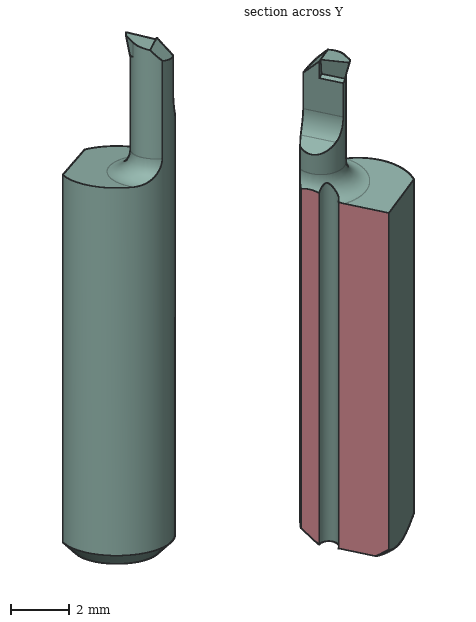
import cadquery as cq
import math

shank_radius = 2.0
flat_x = -1.55
shank_height = 14.0
base_chamfer = 0.5

overall_height = 19.0
neck_radius = 0.875
neck_x = 1.39
root_fillet = 0.8

relief_y = 0.1
relief_arc_radius = 1.2
relief_arc_angle = math.radians(45)
relief_arc_top_z = 16.84

coolant_diameter = 0.7
coolant_x = 0.67
coolant_y = 1.07

tip_x = 0.33
tip_y = -0.02
end_slope = math.radians(7)
end_clearance = 6
ridge_turn = 4
ridge_x = 1.4
head_floor_z = 18.2
floor_tilt = math.radians(12)
flank_lean = 0.28
rake_lean = 0.13
flank_slope = 0.25
back_relief_x = 0.76
head_margin = 0.1

meet_y = -math.sqrt(neck_radius ** 2 - (neck_x - back_relief_x) ** 2)


def make_shank():
    bar = cq.Workplane("XY").circle(shank_radius).extrude(shank_height)
    bar = bar.faces("<Z").chamfer(base_chamfer)
    flat_bound = cq.Workplane("XY").box(
        shank_radius - flat_x, 2 * shank_radius, shank_height, centered=(False, True, False)
    )
    return bar.intersect(flat_bound.translate((flat_x, 0, 0)))


def make_neck():
    """Neck and its flared root, turned about the neck axis and clipped to the shank's cylinder."""
    flare_radius = neck_radius + root_fillet
    flare_top = shank_height + root_fillet
    bend = root_fillet * (1 - math.sqrt(0.5))
    profile = (
        cq.Workplane("XZ")
        .moveTo(0, shank_height - root_fillet)
        .lineTo(flare_radius, shank_height - root_fillet)
        .lineTo(flare_radius, shank_height)
        .threePointArc((neck_radius + bend, shank_height + bend), (neck_radius, flare_top))
        .lineTo(neck_radius, overall_height + head_margin)
        .lineTo(0, overall_height + head_margin)
        .close()
    )
    neck = profile.revolve(360, (0, 0), (0, 1)).translate((neck_x, 0, 0))
    envelope = cq.Workplane("XY").circle(shank_radius).extrude(2 * overall_height)
    return neck.intersect(envelope)


def side_relief():
    """Body removed from the +Y side: a flat, an arc and a 45 degree run-out."""
    def arc_point(angle):
        return (
            relief_y + relief_arc_radius * (1 - math.cos(angle)),
            relief_arc_top_z - relief_arc_radius * math.sin(angle),
        )

    arc_end = arc_point(relief_arc_angle)
    run_out = neck_radius
    return (
        cq.Workplane("YZ")
        .moveTo(relief_y, overall_height + head_margin)
        .lineTo(relief_y, relief_arc_top_z)
        .threePointArc(arc_point(relief_arc_angle / 2), arc_end)
        .lineTo(arc_end[0] + run_out, arc_end[1] - run_out)
        .lineTo(arc_end[0] + run_out, overall_height + head_margin)
        .close()
        .extrude(neck_x + neck_radius)
    )


def head_pocket():
    """Space above the tilted floor, from the back relief to the +Y side and as far as the ridge."""
    def floor_z(y):
        return head_floor_z - (y - relief_y) * math.tan(floor_tilt)

    front_y = neck_radius
    top_z = overall_height + head_margin
    return (
        cq.Workplane("YZ")
        .polyline([(meet_y, floor_z(meet_y)), (front_y, floor_z(front_y)), (front_y, top_z), (meet_y, top_z)])
        .close()
        .extrude(ridge_x)
    )


def make_tooth():
    """Tooth with leaning flank and rake face; it narrows from the end face down to the floor."""
    def outline(z):
        drop = overall_height - z
        corner_x = tip_x + flank_lean * drop
        corner_y = tip_y - rake_lean * drop
        flank_depth = (corner_x + corner_y - back_relief_x - meet_y) / (1 - flank_slope)
        return [
            (corner_x, corner_y),
            (corner_x + flank_slope * flank_depth, corner_y - flank_depth),
            (back_relief_x, meet_y),
            (ridge_x, meet_y),
            (ridge_x, corner_y),
        ]

    low_z = head_floor_z - head_margin
    high_z = overall_height + head_margin
    return (
        cq.Workplane("XY", origin=(0, 0, low_z))
        .polyline(outline(low_z))
        .close()
        .workplane(offset=high_z - low_z)
        .polyline(outline(high_z))
        .close()
        .loft(ruled=True)
        .intersect(head_pocket())
    )


def end_trim():
    """Body above the sloping end face and its bevel, turned and tilted about the tip for end clearance."""
    bevel_run = shank_radius
    ridge_drop = (ridge_x - tip_x) * math.tan(end_slope)
    start_x = tip_x - bevel_run
    end_x = ridge_x + bevel_run
    profile = (
        cq.Workplane("XZ")
        .polyline([
            (start_x, bevel_run * math.tan(end_slope)),
            (ridge_x, -ridge_drop),
            (end_x, -ridge_drop - bevel_run),
            (end_x, bevel_run),
            (start_x, bevel_run),
        ])
        .close()
        .extrude(bevel_run, both=True)
    )
    turned = profile.rotate((0, 0, 0), (0, 0, 1), ridge_turn)
    tilted = turned.rotate((0, 0, 0), (1, 0, 0), end_clearance)
    return tilted.translate((0, tip_y, overall_height))


def coolant_hole():
    drill = cq.Workplane("XY").center(coolant_x, coolant_y).circle(coolant_diameter / 2)
    return drill.extrude(overall_height)


neck = make_neck().cut(side_relief())
head = neck.cut(head_pocket()).union(make_tooth()).cut(end_trim())
result = make_shank().union(head).cut(coolant_hole())